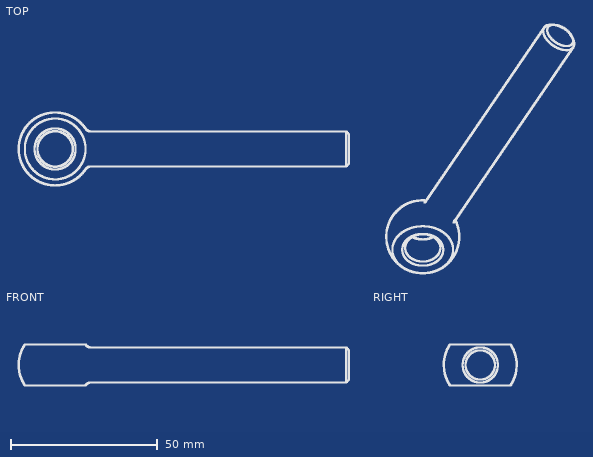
import cadquery as cq
import math

ball_radius = 12.5
eye_thickness = 14.0
eye_diameter = 12.0
eye_chamfer = 1.0
shank_radius = 6.0
shank_end_x = 100.0
shank_end_chamfer = 1.0
neck_fillet_radius = 2.0

half_thickness = eye_thickness / 2
eye_radius = eye_diameter / 2


def make_flattened_ball():
    """Ball cut by flat faces above and below, turned about the Z axis."""
    flat_radius = math.sqrt(ball_radius**2 - half_thickness**2)
    profile = (
        cq.Workplane("XZ")
        .moveTo(0, -half_thickness)
        .lineTo(flat_radius, -half_thickness)
        .threePointArc((ball_radius, 0), (flat_radius, half_thickness))
        .lineTo(0, half_thickness)
        .close()
    )
    return profile.revolve(360, (0, 0, 0), (0, 1, 0))


def make_shank_with_neck():
    """Round shank turned about the X axis, flared by a neck fillet tangent to the ball."""
    neck_center_radius = shank_radius + neck_fillet_radius
    neck_end_x = math.sqrt((ball_radius + neck_fillet_radius) ** 2 - neck_center_radius**2)
    contact_angle = math.atan2(neck_center_radius, neck_end_x)
    contact_x = ball_radius * math.cos(contact_angle)
    contact_radius = ball_radius * math.sin(contact_angle)

    profile = (
        cq.Workplane("XZ")
        .lineTo(contact_x, contact_radius)
        .radiusArc((neck_end_x, shank_radius), -neck_fillet_radius)
        .lineTo(shank_end_x - shank_end_chamfer, shank_radius)
        .lineTo(shank_end_x, shank_radius - shank_end_chamfer)
        .lineTo(shank_end_x, 0)
        .close()
    )
    return profile.revolve(360, (0, 0, 0), (1, 0, 0))


def make_eye_cutter():
    """Through hole along Z with a 45 degree chamfer at both flat faces."""
    mouth_radius = eye_radius + eye_chamfer
    bore_half_length = half_thickness - eye_chamfer
    profile = (
        cq.Workplane("XZ")
        .moveTo(0, -half_thickness)
        .lineTo(mouth_radius, -half_thickness)
        .lineTo(eye_radius, -bore_half_length)
        .lineTo(eye_radius, bore_half_length)
        .lineTo(mouth_radius, half_thickness)
        .lineTo(0, half_thickness)
        .close()
    )
    return profile.revolve(360, (0, 0, 0), (0, 1, 0))


result = make_flattened_ball().union(make_shank_with_neck()).cut(make_eye_cutter())